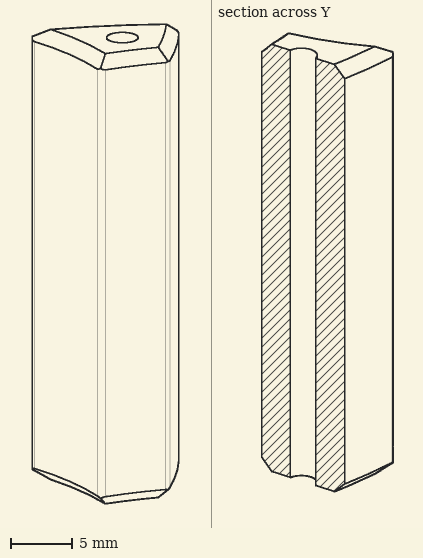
import cadquery as cq
import math

length = 39.0
end_chamfer = 1.0
edge_radius = 0.5
hole_diameter = 2.57

back_left = (-2.5, 5.85)
front_left = (-5.1, -6.55)
front_right = (4.33, -3.55)
back_right = (4.33, 2.45)

left_bow = 0.43
front_bow = -0.5
right_bow = -0.15
back_bow = 0.2


def bowed_midpoint(start, end, bow):
    """Middle point of an arc side, for corners listed counter-clockwise."""
    dx = end[0] - start[0]
    dy = end[1] - start[1]
    chord = math.hypot(dx, dy)
    mid_x = (start[0] + end[0]) / 2 + bow * dy / chord
    mid_y = (start[1] + end[1]) / 2 - bow * dx / chord
    return (mid_x, mid_y)


def make_prism():
    """Sharp-edged bar with four gently curved sides."""
    sides = [
        (back_left, front_left, left_bow),
        (front_left, front_right, front_bow),
        (front_right, back_right, right_bow),
        (back_right, back_left, back_bow),
    ]
    outline = cq.Workplane("XY").moveTo(*back_left)
    for start, end, bow in sides:
        outline = outline.threePointArc(bowed_midpoint(start, end, bow), end)
    return outline.close().extrude(length)


chamfered_bar = make_prism().faces("<Z or >Z").chamfer(end_chamfer)
rounded_bar = make_prism().edges("|Z").fillet(edge_radius)
hole = cq.Workplane("XY").circle(hole_diameter / 2).extrude(length)

result = chamfered_bar.intersect(rounded_bar).cut(hole)